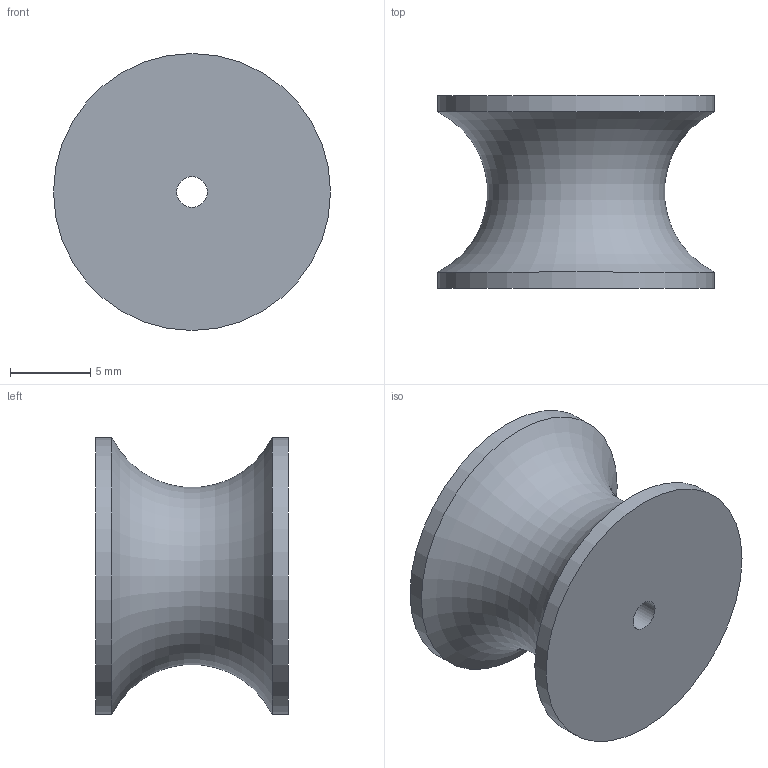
import cadquery as cq

flange_diameter = 17.26
neck_diameter = 11.02
bore_diameter = 1.93
spool_length = 12.0
flange_thickness = 1.0

flange_radius = flange_diameter / 2
neck_radius = neck_diameter / 2
bore_radius = bore_diameter / 2
half_length = spool_length / 2
groove_half_width = half_length - flange_thickness


def make_spool():
    """Revolve the half section, with its concave arc groove and open bore, about Y."""
    half_section = (
        cq.Workplane("XY")
        .moveTo(bore_radius, -half_length)
        .lineTo(flange_radius, -half_length)
        .lineTo(flange_radius, -groove_half_width)
        .threePointArc((neck_radius, 0), (flange_radius, groove_half_width))
        .lineTo(flange_radius, half_length)
        .lineTo(bore_radius, half_length)
        .close()
    )
    axis_start = (0, 0, 0)
    axis_end = (0, 1, 0)
    return half_section.revolve(360, axis_start, axis_end)


result = make_spool()